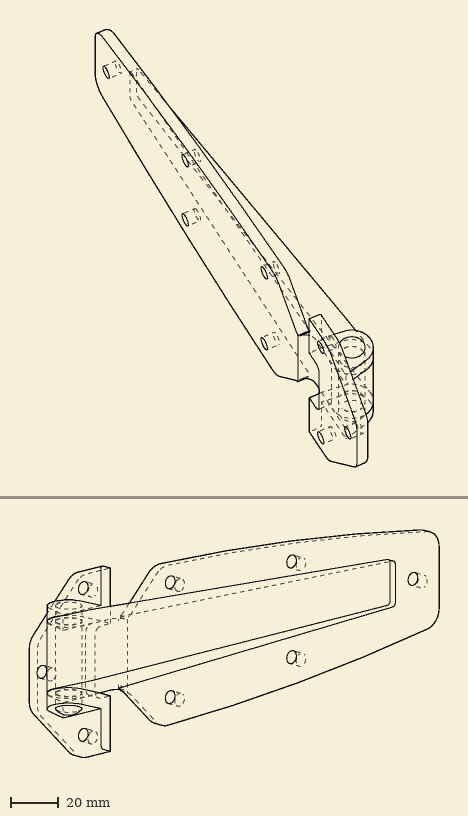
import cadquery as cq
import math


total_length = 232.0
total_depth = 24.0
plate_thickness = 5.8
corner_radius = 8.0
screw_hole_diameter = 5.5
neck_half_width = 15.5
side_clearance = 0.2
ear_inner_z = neck_half_width + side_clearance

barrel_radius = (total_depth - plate_thickness) / 2
pin_x = 200.0
pin_y = total_depth - barrel_radius

strap_end_x = 179.7
neck_corner_x = 180.0
strap_tip_half_width = 20.2
strap_mid_x = 79.3
strap_mid_half_width = 30.4
strap_shoulder_half_width = 35.0
strap_tip_radius = 8.1
strap_shoulder_radius = 9.3
strap_edge_radius = 2.0
strap_holes = [(9.7, 0), (79.8, 20.9), (79.8, -20.9), (149.8, 25.0), (149.8, -25.0)]
neck_root_radius = 4.9

rib_tip_x = 20.0
rib_tip_y = 9.0
rib_tip_half_width = 10.0
rib_tip_corner_radius = 1.6

leaf_start_x = 189.7
leaf_width = 80.0
leaf_half_width = leaf_width / 2
leaf_bevel = 25.0
leaf_edge_radius = 1.5
leaf_holes = [(pin_x, 32.0), (pin_x, -32.0), (223.8, 0)]
notch_end_x = 198.5
notch_corner_radius = 3.5
ear_thickness = 6.7
ear_outer_z = ear_inner_z + ear_thickness
ear_end_x = 211.5

pin_radius = 5.5
pin_dome_height = 2.5


def barrel_tangent(x, y, side):
    """Point where a line from (x, y) touches the barrel circle; side is +1 or -1."""
    dx = x - pin_x
    dy = y - pin_y
    angle = math.atan2(dy, dx) + side * math.acos(barrel_radius / math.hypot(dx, dy))
    return (pin_x + barrel_radius * math.cos(angle), pin_y + barrel_radius * math.sin(angle))


def screw_holes(points):
    """Plain through holes for a plate."""
    return (
        cq.Workplane("XZ").pushPoints(points).circle(screw_hole_diameter / 2).extrude(-plate_thickness)
    )


def make_strap_plate():
    shoulder_x = neck_corner_x - (strap_shoulder_half_width - neck_half_width)
    plate = (
        cq.Workplane("XZ")
        .moveTo(0, -strap_tip_half_width)
        .lineTo(0, strap_tip_half_width)
        .threePointArc((strap_mid_x, strap_mid_half_width), (shoulder_x, strap_shoulder_half_width))
        .lineTo(neck_corner_x, neck_half_width)
        .lineTo(neck_corner_x + corner_radius, neck_half_width)
        .lineTo(neck_corner_x + corner_radius, -neck_half_width)
        .lineTo(neck_corner_x, -neck_half_width)
        .lineTo(shoulder_x, -strap_shoulder_half_width)
        .threePointArc((strap_mid_x, -strap_mid_half_width), (0, -strap_tip_half_width))
        .close()
        .extrude(-plate_thickness)
    )
    plate = plate.edges("|Y and <X").fillet(strap_tip_radius)
    plate = plate.edges("|Y and (<Z or >Z)").fillet(strap_shoulder_radius)
    neck_corners = cq.selectors.BoxSelector(
        (neck_corner_x - corner_radius, 0, -leaf_half_width),
        (neck_corner_x + corner_radius / 2, total_depth, leaf_half_width),
    )
    plate = plate.edges("|Y").edges(neck_corners).fillet(corner_radius)
    trim = cq.Workplane("XY").box(
        strap_end_x, plate_thickness, 2 * leaf_half_width, centered=(False, False, True)
    )
    plate = plate.intersect(trim)
    return plate.faces(">Y").edges("not(>X)").fillet(strap_edge_radius)


def make_neck_root():
    """Concave quarter-round between the end of the plate and the underside of the neck."""
    low_y = plate_thickness - neck_root_radius
    diagonal = neck_root_radius * math.sqrt(0.5)
    return (
        cq.Workplane("XY", origin=(0, 0, -neck_half_width))
        .moveTo(strap_end_x, plate_thickness)
        .lineTo(strap_end_x, low_y)
        .threePointArc(
            (strap_end_x + neck_root_radius - diagonal, low_y + diagonal),
            (strap_end_x + neck_root_radius, plate_thickness),
        )
        .close()
        .extrude(2 * neck_half_width)
    )


def make_rib_and_barrel():
    """Wedge rib whose sloping top runs tangent onto the knuckle barrel."""
    side_shape = (
        cq.Workplane("XY", origin=(0, 0, -neck_half_width))
        .moveTo(rib_tip_x, plate_thickness)
        .lineTo(rib_tip_x, rib_tip_y)
        .lineTo(*barrel_tangent(rib_tip_x, rib_tip_y, -1))
        .threePointArc((pin_x + barrel_radius, pin_y), (pin_x, plate_thickness))
        .close()
        .extrude(2 * neck_half_width)
    )
    width_shape = (
        cq.Workplane("XZ")
        .polyline([
            (rib_tip_x, -rib_tip_half_width),
            (rib_tip_x, rib_tip_half_width),
            (strap_end_x, neck_half_width),
            (total_length, neck_half_width),
            (total_length, -neck_half_width),
            (strap_end_x, -neck_half_width),
        ])
        .close()
        .extrude(-total_depth)
        .edges("|Y and <X")
        .fillet(rib_tip_corner_radius)
    )
    return side_shape.intersect(width_shape)


def make_pin_bore():
    return (
        cq.Workplane("XY", origin=(pin_x, pin_y, -ear_outer_z)).circle(pin_radius).extrude(2 * ear_outer_z)
    )


def make_strap():
    strap = make_strap_plate().union(make_neck_root()).union(make_rib_and_barrel())
    return strap.cut(screw_holes(strap_holes)).cut(make_pin_bore())


def make_leaf_plate():
    plate = (
        cq.Workplane("XZ")
        .polyline([
            (leaf_start_x, -leaf_half_width),
            (leaf_start_x, leaf_half_width),
            (total_length - leaf_bevel, leaf_half_width),
            (total_length, leaf_half_width - leaf_bevel),
            (total_length, -leaf_half_width + leaf_bevel),
            (total_length - leaf_bevel, -leaf_half_width),
        ])
        .close()
        .extrude(-plate_thickness)
        .edges("|Y and (not <X)")
        .fillet(corner_radius)
    )
    plate = plate.faces(">Y").edges("not(<X)").fillet(leaf_edge_radius)
    notch = (
        cq.Workplane("XY", origin=(leaf_start_x, 0, 0))
        .box(notch_end_x - leaf_start_x, plate_thickness, 2 * ear_inner_z, centered=(False, False, True))
        .edges("|Y and >X")
        .fillet(notch_corner_radius)
    )
    return plate.cut(notch)


def make_ear(start_z):
    """Knuckle ear: barrel circle with straight sides tangent down to the plate."""
    return (
        cq.Workplane("XY", origin=(0, 0, start_z))
        .moveTo(leaf_start_x, plate_thickness)
        .lineTo(*barrel_tangent(leaf_start_x, plate_thickness, -1))
        .threePointArc((pin_x, total_depth), barrel_tangent(ear_end_x, plate_thickness, 1))
        .lineTo(ear_end_x, plate_thickness)
        .close()
        .extrude(ear_thickness)
    )


def make_leaf():
    leaf = make_leaf_plate()
    for start_z in (ear_inner_z, -ear_outer_z):
        leaf = leaf.union(make_ear(start_z))
    return leaf.cut(screw_holes(leaf_holes)).cut(make_pin_bore())


def make_pin():
    """Round pin with a spherical dome standing out of each ear."""
    dome_radius = (pin_radius**2 + pin_dome_height**2) / (2 * pin_dome_height)
    tip_z = ear_outer_z + pin_dome_height
    mid_r = pin_radius / 2
    mid_z = tip_z - dome_radius + math.sqrt(dome_radius**2 - mid_r**2)
    return (
        cq.Workplane("XZ", origin=(pin_x, pin_y, 0))
        .moveTo(0, -tip_z)
        .threePointArc((mid_r, -mid_z), (pin_radius, -ear_outer_z))
        .lineTo(pin_radius, ear_outer_z)
        .threePointArc((mid_r, mid_z), (0, tip_z))
        .close()
        .revolve(360, (0, 0), (0, 1))
    )


strap = make_strap()
leaf = make_leaf()
pin = make_pin()

result = cq.Compound.makeCompound([strap.val(), leaf.val(), pin.val()])